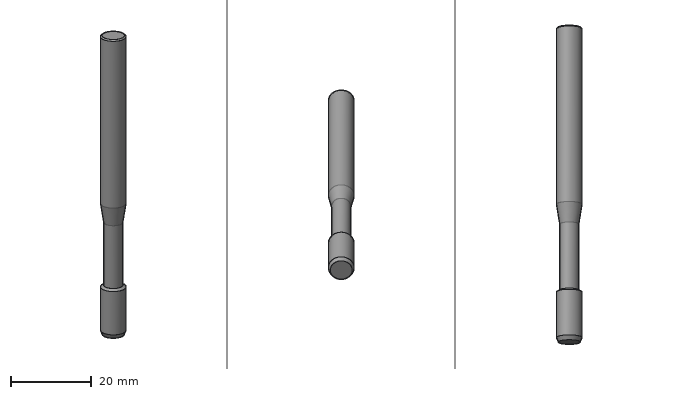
import cadquery as cq

total_length = 80.0
body_radius = 3.2

head_chamfer_height = 1.1
head_shoulder_z = 12.7
head_top_z = 13.2
neck_top_z = 30.0
taper_top_z = 35.0

tip_radius = 2.7
neck_radius = 2.4
shank_end_radius = 2.8
shank_chamfer_height = 0.3


def revolve_profile(points):
    """Turn a closed outline of (radius, Z) points around the Z axis."""
    return (
        cq.Workplane("XZ")
        .polyline(points)
        .close()
        .revolve(360, (0, 0), (0, 1))
    )


def make_head():
    """Cylindrical head with a chamfered tip and a sloping shoulder at the neck."""
    return revolve_profile([
        (0, 0),
        (tip_radius, 0),
        (body_radius, head_chamfer_height),
        (body_radius, head_shoulder_z),
        (neck_radius, head_top_z),
        (0, head_top_z),
    ])


def make_shank():
    """Slim neck that widens through a taper into the chamfered shank."""
    return revolve_profile([
        (0, head_top_z),
        (neck_radius, head_top_z),
        (neck_radius, neck_top_z),
        (body_radius, taper_top_z),
        (body_radius, total_length - shank_chamfer_height),
        (shank_end_radius, total_length),
        (0, total_length),
    ])


head = make_head()
shank = make_shank()

result = cq.Compound.makeCompound([head.val(), shank.val()])